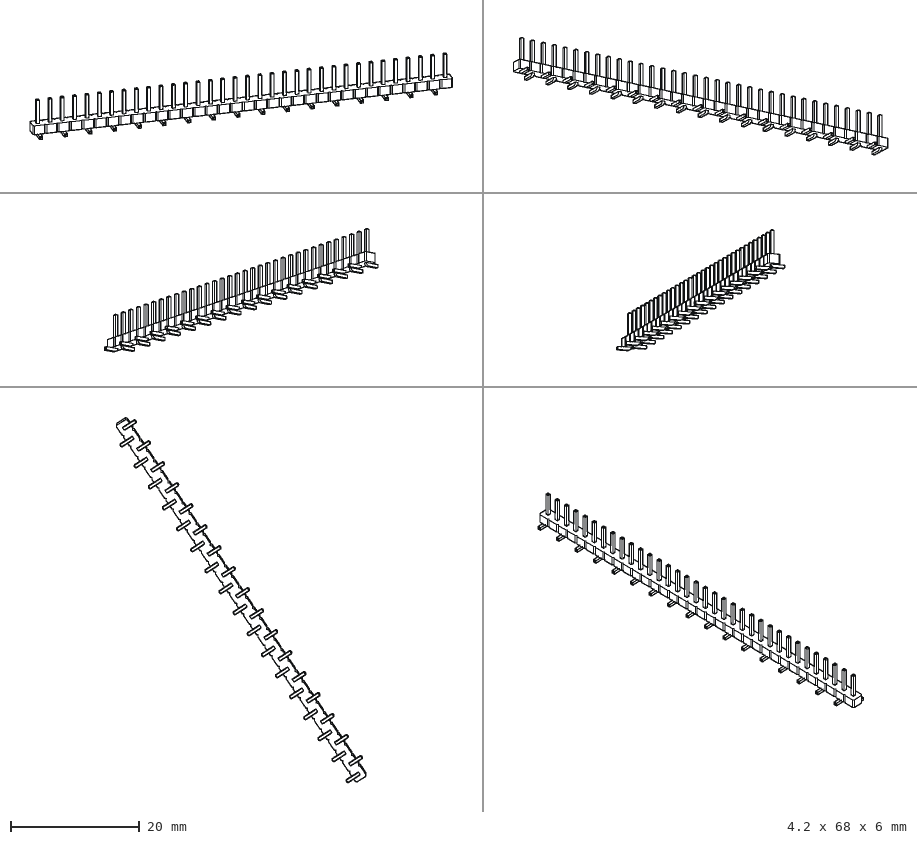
import cadquery as cq


pin_count = 34
pitch = 2.0
row_length = pin_count * pitch

overall_height = 6.0
leg_span = 4.2
pin_size = 0.5
heel_radius = pin_size
tip_chamfer = pin_size / 4

body_width = 2.0
body_height = 1.5
body_bottom = pin_size
groove_depth = 0.2
end_chamfer = groove_depth


def make_body():
    """Bar with V-grooves at every cell boundary on both long sides and chamfered ends."""
    half_width = body_width / 2
    half_length = row_length / 2
    groove_floor = half_width - groove_depth
    end_edge = half_width - end_chamfer
    chamfer_start = half_length - end_chamfer

    right_side = [(end_edge, -half_length), (half_width, -chamfer_start)]
    for index in range(1, pin_count):
        y = index * pitch - half_length
        right_side += [
            (half_width, y - groove_depth),
            (groove_floor, y),
            (half_width, y + groove_depth),
        ]
    right_side += [(half_width, chamfer_start), (end_edge, half_length)]
    left_side = [(-x, -y) for x, y in right_side]

    return (
        cq.Workplane("XY", origin=(0, 0, body_bottom))
        .polyline(right_side + left_side)
        .close()
        .extrude(body_height)
    )


def make_contact():
    """L-shaped contact with its post on the Z axis and its leg pointing to +X."""
    half_pin = pin_size / 2
    leg_tip = leg_span / 2
    return (
        cq.Workplane("XZ")
        .moveTo(leg_tip, 0)
        .lineTo(heel_radius - half_pin, 0)
        .tangentArcPoint((-half_pin, heel_radius), relative=False)
        .lineTo(-half_pin, overall_height)
        .lineTo(half_pin, overall_height)
        .lineTo(half_pin, pin_size)
        .lineTo(leg_tip, pin_size)
        .close()
        .extrude(half_pin, both=True)
        .faces(">Z or >X")
        .chamfer(tip_chamfer)
    )


def make_header():
    """Body and contacts joined into one solid; the contact at the -Y end points to +X."""
    right_contact = make_contact()
    left_contact = right_contact.rotate((0, 0, 0), (0, 0, 1), 180)
    contacts = []
    for index in range(pin_count):
        y = (index + 0.5) * pitch - row_length / 2
        contact = right_contact if index % 2 == 0 else left_contact
        contacts.append(contact.translate((0, y, 0)).val())
    header = make_body().val().fuse(*contacts)
    return cq.Workplane(header.Solids()[0])


result = make_header()